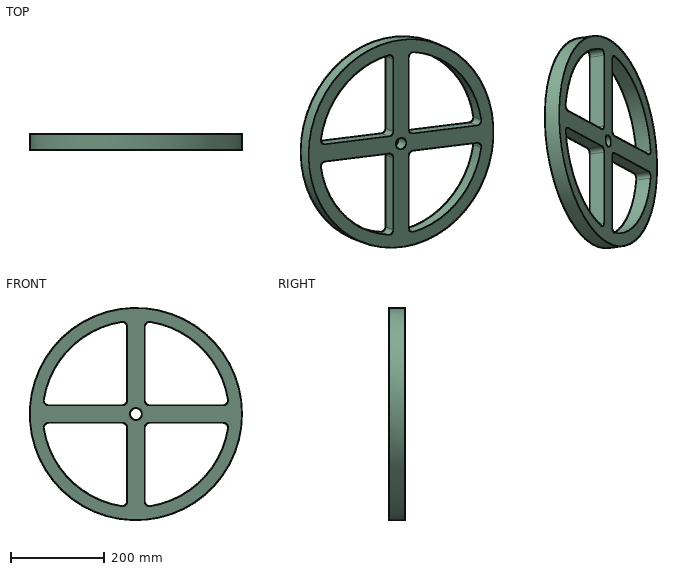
import cadquery as cq

outer_diameter = 456.5
window_diameter = 400.0
thickness = 35.0
spoke_width = 38.5
bore_diameter = 25.0
corner_radius = 10.0
window_count = 4


def disc(diameter):
    """Disc centred on the origin with its axis along Y."""
    return cq.Workplane("XZ", origin=(0, thickness / 2, 0)).circle(diameter / 2).extrude(thickness)


def window():
    """Rounded quarter opening between the +X and +Z spokes."""
    side = outer_diameter / 2
    corner = spoke_width / 2 + side / 2
    quadrant = cq.Workplane("XY").box(side, thickness, side).translate((corner, 0, corner))
    return disc(window_diameter).intersect(quadrant).edges("|Y").fillet(corner_radius)


result = disc(outer_diameter).cut(disc(bore_diameter))

opening = window()
for index in range(window_count):
    angle = index * 360 / window_count
    result = result.cut(opening.rotate((0, 0, 0), (0, 1, 0), angle))